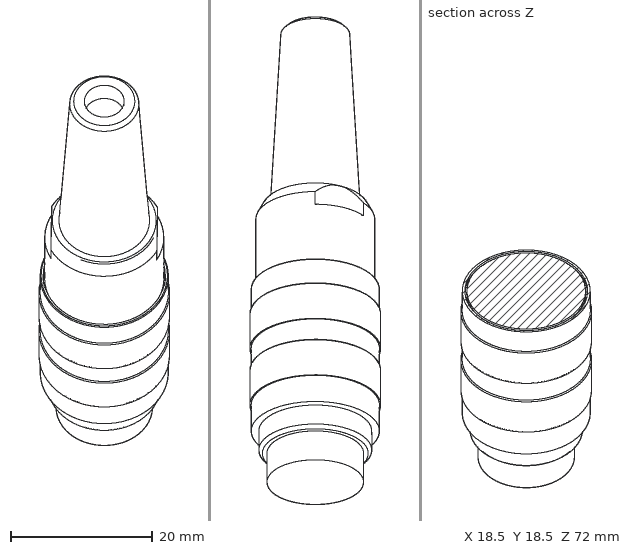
import cadquery as cq

TOTAL_HEIGHT = 72.0
NOSE_TOP = 4.6
SPIGOT_TOP = 8.1
LOWER_BAND_BOTTOM = 12.3
UPPER_BAND_BOTTOM = 21.3
BAND_HEIGHT = 5.75
GRIP_TOP = 30.95
COLLAR_TOP = 43.9

NOSE_RADIUS = 6.85
SPIGOT_RADIUS = 8.0
SPIGOT_CHAMFER = 0.5
GRIP_RADIUS = 9.1
GRIP_CHAMFER = 0.15
BAND_DIAMETER = 18.5
BAND_RADIUS = BAND_DIAMETER / 2
BAND_CHAMFER = BAND_RADIUS - GRIP_RADIUS
COLLAR_RADIUS = 8.4
COLLAR_BEVEL_WIDTH = 0.9
COLLAR_BEVEL_HEIGHT = 1.95
COLLAR_RIM_CHAMFER = 0.2

GROOVE_WIDTH = 0.2
GROOVE_DEPTH = 0.7

FLAT_SPACING = 15.0
FLAT_HEIGHT = 3.95
FLAT_DIRECTION = 57.5
CUTTER_MARGIN = 0.7

BOOT_BASE_RADIUS = 6.4
BOOT_TIP_RADIUS = 4.9
BOOT_TIP_CHAMFER = 0.6
CABLE_HOLE_RADIUS = 2.8
CABLE_HOLE_DEPTH = 3.1


def revolve_profile(points):
    """Solid of revolution about the Z axis from (radius, height) points."""
    return cq.Workplane("XZ").polyline(points).close().revolve(360, (0, 0), (0, 1))


def cylinder(radius, bottom, top):
    """Round section on the Z axis between two heights."""
    return cq.Workplane("XY").workplane(offset=bottom).circle(radius).extrude(top - bottom)


def make_spigot():
    """Cylinder above the nose with a chamfered lower edge."""
    return cylinder(SPIGOT_RADIUS, NOSE_TOP, SPIGOT_TOP).faces("<Z").chamfer(SPIGOT_CHAMFER)


def make_grip():
    """Main cylinder of the housing with a broken upper edge."""
    return cylinder(GRIP_RADIUS, SPIGOT_TOP, GRIP_TOP).faces(">Z").chamfer(GRIP_CHAMFER)


def make_band(bottom):
    """Raised grip band whose upper edge slopes back to the grip surface."""
    return cylinder(BAND_RADIUS, bottom, bottom + BAND_HEIGHT).faces(">Z").chamfer(BAND_CHAMFER)


def make_groove():
    """Ring to remove from the grip around the foot of the collar."""
    bottom = GRIP_TOP - GROOVE_DEPTH
    core = cylinder(COLLAR_RADIUS, bottom, GRIP_TOP)
    return cylinder(COLLAR_RADIUS + GROOVE_WIDTH, bottom, GRIP_TOP).cut(core)


def make_flats_cutter():
    """Everything that lies outside the two parallel wrench flats."""
    bottom = COLLAR_TOP - FLAT_HEIGHT
    blank_radius = COLLAR_RADIUS + CUTTER_MARGIN
    kept = (
        cq.Workplane("XY")
        .workplane(offset=bottom)
        .rect(FLAT_SPACING, 2 * blank_radius)
        .extrude(FLAT_HEIGHT)
        .rotate((0, 0, 0), (0, 0, 1), FLAT_DIRECTION)
    )
    return cylinder(blank_radius, bottom, COLLAR_TOP).cut(kept)


def make_collar():
    """Collar with a steep bevel, a small rim chamfer and two wrench flats."""
    bevel_top_radius = COLLAR_RADIUS - COLLAR_BEVEL_WIDTH
    profile = [
        (0, GRIP_TOP),
        (COLLAR_RADIUS, GRIP_TOP),
        (COLLAR_RADIUS, COLLAR_TOP - COLLAR_BEVEL_HEIGHT),
        (bevel_top_radius, COLLAR_TOP - COLLAR_RIM_CHAMFER),
        (bevel_top_radius - COLLAR_RIM_CHAMFER, COLLAR_TOP),
        (0, COLLAR_TOP),
    ]
    return revolve_profile(profile).cut(make_flats_cutter())


def make_housing():
    """Stepped connector housing with two raised grip bands and a flatted collar."""
    nose = cylinder(NOSE_RADIUS, 0, NOSE_TOP)
    housing = nose.union(make_spigot()).union(make_grip())
    for bottom in (LOWER_BAND_BOTTOM, UPPER_BAND_BOTTOM):
        housing = housing.union(make_band(bottom))
    return housing.cut(make_groove()).union(make_collar())


def make_boot():
    """Tapered boot standing on the collar, with a blind cable hole in its tip."""
    profile = [
        (0, COLLAR_TOP),
        (BOOT_BASE_RADIUS, COLLAR_TOP),
        (BOOT_TIP_RADIUS, TOTAL_HEIGHT - BOOT_TIP_CHAMFER),
        (BOOT_TIP_RADIUS - BOOT_TIP_CHAMFER, TOTAL_HEIGHT),
        (0, TOTAL_HEIGHT),
    ]
    cable_hole = cylinder(CABLE_HOLE_RADIUS, TOTAL_HEIGHT - CABLE_HOLE_DEPTH, TOTAL_HEIGHT)
    return revolve_profile(profile).cut(cable_hole)


housing = make_housing()
boot = make_boot()

result = cq.Compound.makeCompound([housing.val(), boot.val()])